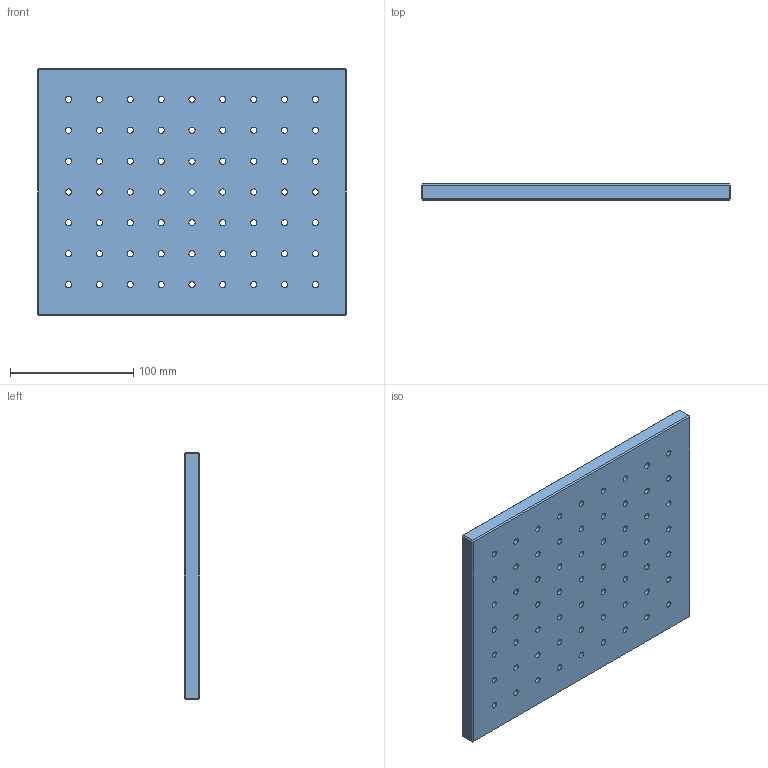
import cadquery as cq

length = 250.0
thickness = 12.7
height = 200.0
edge_chamfer = 1.0

hole_diameter = 5.0
hole_pitch = 25.0
hole_columns = 9
hole_rows = 7


def make_plate():
    """Upright rectangular plate with every outer edge chamfered."""
    return cq.Workplane("XY").box(length, thickness, height).edges().chamfer(edge_chamfer)


def drill_hole_grid(plate):
    """Drill the grid of holes through the thickness, along Y."""
    return (
        plate.faces("<Y")
        .workplane(centerOption="CenterOfBoundBox")
        .rarray(hole_pitch, hole_pitch, hole_columns, hole_rows)
        .hole(hole_diameter)
    )


result = drill_hole_grid(make_plate())